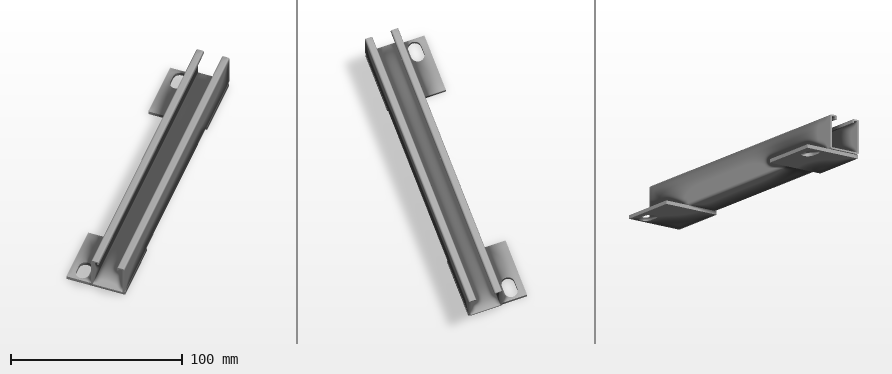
import cadquery as cq

channel_length = 177.8
channel_width = 20.6
channel_height = 21.0
sheet_thickness = 1.0
base_bend_radius = 1.5
base_bend_inner_radius = base_bend_radius - sheet_thickness
lip_bend_radius = sheet_thickness
lip_width = 4.6
lip_drop = 2.3

plate_width = 36.5
plate_length = 36.8
plate_thickness = 2.1
plate_end_inset = 1.2

slot_width = 8.0
slot_length = 12.8
slot_side_distance = 8.0
slot_end_distance = 8.0

right_x = plate_width / 2
left_x = right_x - channel_width
bottom_z = plate_thickness
top_z = bottom_z + channel_height


def long_block(x_min, x_max, z_min, z_max):
    """Block running the full channel length along Y."""
    return (
        cq.Workplane("XY")
        .box(x_max - x_min, channel_length, z_max - z_min)
        .translate(((x_min + x_max) / 2, 0, (z_min + z_max) / 2))
    )


def make_lip(x_min):
    """Lip strip with both top edges rounded, hollow underneath."""
    lip_bottom = top_z - lip_drop
    lip = long_block(x_min, x_min + lip_width, lip_bottom, top_z).edges("|Y and >Z").fillet(lip_bend_radius)
    hollow = long_block(
        x_min + sheet_thickness,
        x_min + lip_width - sheet_thickness,
        lip_bottom,
        top_z - sheet_thickness,
    )
    return lip.cut(hollow)


def make_channel():
    """U-shaped channel with inward lips that turn down at the opening."""
    envelope = (
        long_block(left_x, right_x, bottom_z, top_z)
        .edges("|Y and <Z")
        .fillet(base_bend_radius)
        .edges("|Y and >Z")
        .fillet(lip_bend_radius)
    )
    cavity = (
        long_block(left_x + sheet_thickness, right_x - sheet_thickness, bottom_z + sheet_thickness, top_z)
        .edges("|Y and <Z")
        .fillet(base_bend_inner_radius)
    )
    channel = envelope.cut(cavity)
    for lip_x in (left_x, right_x - lip_width):
        channel = channel.union(make_lip(lip_x))
    return channel


def make_plate(end):
    """Slotted plate at the -Y end (end = -1) or the +Y end (end = 1)."""
    outer_y = channel_length / 2 - plate_end_inset
    center_y = end * (outer_y - plate_length / 2)
    slot_x = -plate_width / 2 + slot_side_distance
    slot_y = end * (outer_y - slot_end_distance)
    plate = cq.Workplane("XY").center(0, center_y).rect(plate_width, plate_length).extrude(plate_thickness)
    slot = (
        cq.Workplane("XY")
        .center(slot_x, slot_y)
        .slot2D(slot_length, slot_width, 90)
        .extrude(plate_thickness)
    )
    return plate.cut(slot)


channel = make_channel()
plates = [make_plate(end) for end in (-1, 1)]

result = cq.Compound.makeCompound([channel.val(), *[plate.val() for plate in plates]])